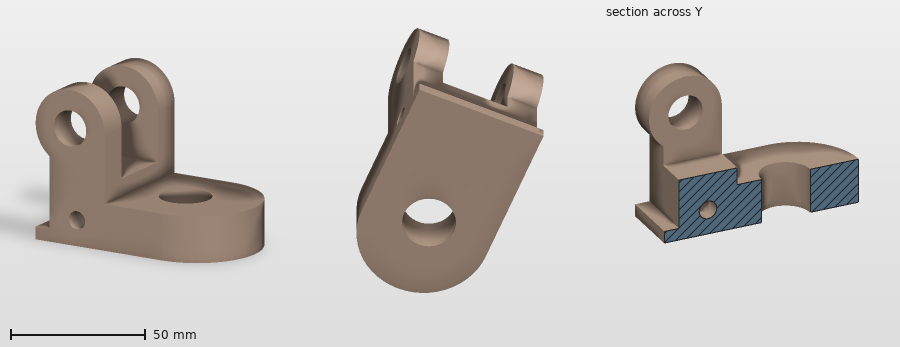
import cadquery as cq

length = 80.0
width = 50.0
height = 60.0

base_height = 18.0
end_radius = width / 2
end_center_x = length - end_radius
base_bore_diameter = 20.0
base_bore_x = 50.0

upright_start_x = 6.0
lip_height = 5.0
lug_diameter = 30.0
lug_radius = lug_diameter / 2
lug_center_x = lug_radius
lug_center_z = height - lug_radius
lug_bore_diameter = 14.0

lug_thickness = 12.0
slot_width = width - 2 * lug_thickness
slot_floor_z = 25.0

cross_hole_diameter = 7.0
cross_hole_x = 18.0
cross_hole_z = 10.0


def box_between(x_start, x_end, y_width, z_start, z_end):
    """Box between X and Z limits, centered on Y = 0."""
    box = cq.Workplane("XY").box(x_end - x_start, y_width, z_end - z_start, centered=(False, True, False))
    return box.translate((x_start, 0, z_start))


def cylinder_along_y(x, z, diameter):
    """Cylinder spanning the full width of the part."""
    return cq.Workplane("XZ").center(x, z).circle(diameter / 2).extrude(width / 2, both=True)


def make_base():
    """Plate with a rounded end, cut down to a thin lip in front of the upright."""
    plate = box_between(0, end_center_x, width, 0, base_height)
    round_end = cq.Workplane("XY").center(end_center_x, 0).circle(end_radius).extrude(base_height)
    lip_clearance = box_between(0, upright_start_x, width, lip_height, base_height)
    return plate.union(round_end).cut(lip_clearance)


def make_upright():
    """Block rising into a round head, slotted to leave two lugs."""
    block = box_between(upright_start_x, lug_diameter, width, 0, lug_center_z)
    head = cylinder_along_y(lug_center_x, lug_center_z, lug_diameter)
    slot = box_between(0, lug_diameter, slot_width, slot_floor_z, height)
    return block.union(head).cut(slot)


base_bore = cq.Workplane("XY").center(base_bore_x, 0).circle(base_bore_diameter / 2).extrude(base_height)

result = (
    make_base()
    .union(make_upright())
    .cut(base_bore)
    .cut(cylinder_along_y(lug_center_x, lug_center_z, lug_bore_diameter))
    .cut(cylinder_along_y(cross_hole_x, cross_hole_z, cross_hole_diameter))
)